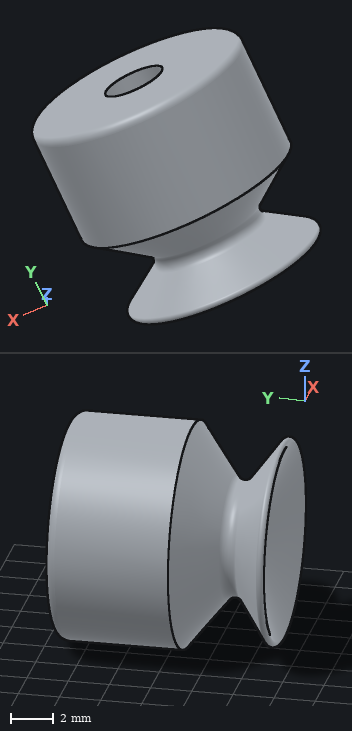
import cadquery as cq
import math

length = 10.52
body_radius = 5.5
body_edge_radius = 0.5
hole_radius = 1.5
rim_radius = 5.04
rim_round = 0.2
neck_radius = 2.82
neck_round = 0.5
neck_position = 2.17
body_front = 4.52
cup_depth = 1.43

rim_centre = (rim_radius - rim_round, rim_round)
neck_centre = (neck_radius + neck_round, neck_position)


def arc_point(centre, radius, angle):
    """Point (radius, axial position) on an arc; angle runs from +radial toward +Y."""
    return (centre[0] + radius * math.cos(angle), centre[1] + radius * math.sin(angle))


def tangent_normal(gap, offset):
    """Normal angle of a line tangent to two arcs on opposite sides.

    gap is the (radial, axial) vector between their centres, offset the sum of their radii.
    """
    return math.atan2(gap[1], gap[0]) - math.acos(offset / math.hypot(*gap))


lip_gap = (neck_centre[0] - rim_centre[0], neck_centre[1] - rim_centre[1])
rear_gap = (neck_centre[0] - body_radius, body_front - neck_centre[1])
lip_normal = tangent_normal(lip_gap, rim_round + neck_round)
rear_normal = tangent_normal(rear_gap, neck_round)

cup_edge = arc_point(rim_centre, rim_round, lip_normal + math.pi)
rim_middle = arc_point(rim_centre, rim_round, lip_normal - math.pi / 2)
lip_edge = arc_point(rim_centre, rim_round, lip_normal)
neck_front = arc_point(neck_centre, neck_round, math.pi + lip_normal)
neck_middle = (neck_radius, neck_centre[1])
neck_back = arc_point(neck_centre, neck_round, math.pi - rear_normal)

edge_centre = (body_radius - body_edge_radius, length - body_edge_radius)
edge_middle = arc_point(edge_centre, body_edge_radius, math.pi / 4)

profile = (
    cq.Workplane("XY")
    .moveTo(hole_radius, cup_depth)
    .lineTo(*cup_edge)
    .threePointArc(rim_middle, lip_edge)
    .lineTo(*neck_front)
    .threePointArc(neck_middle, neck_back)
    .lineTo(body_radius, body_front)
    .lineTo(body_radius, edge_centre[1])
    .threePointArc(edge_middle, (edge_centre[0], length))
    .lineTo(hole_radius, length)
    .close()
)

result = profile.revolve(360, (0, 0, 0), (0, 1, 0))